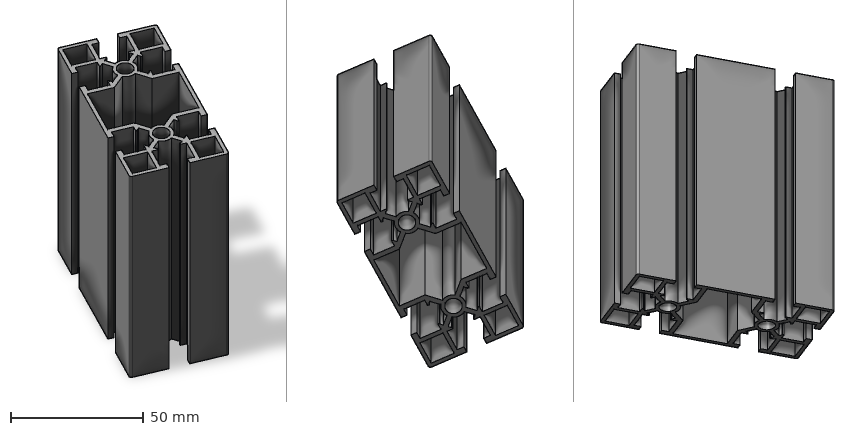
import cadquery as cq
import math

width = 80.0
depth = 40.0
length = 100.0
corner_radius = 1.0

module = depth
slot_opening = 8.3
lip_thickness = 2.5
slot_inner_width = 14.0
hook_depth = 11.3
hook_gap = 8.9
hook_thickness = 0.7
hook_tip_flat = 0.3

skin = 1.6
hollow_width = 22.0
cell_size = hook_depth - skin
web_thickness = 2.0
tube_outer_radius = 4.8
tube_bore_radius = 3.3

half_module = module / 2
tube_spacing = width - module
tube_centers = [(-tube_spacing / 2, 0), (tube_spacing / 2, 0)]
web_offset = web_thickness / math.sqrt(2)


def prism(points):
    """Extrude a closed outline over the full profile length."""
    return cq.Workplane("XY").polyline(points).close().extrude(length)


def slot_cutter(center_x, angle):
    """T-slot around one tube center, opening toward +Y before it is turned by angle."""
    half_opening = slot_opening / 2
    half_inner = slot_inner_width / 2
    half_gap = hook_gap / 2
    lip_y = half_module - lip_thickness
    hook_y = half_module - hook_depth
    hook_tip_y = hook_y - hook_thickness
    undercut_sum = half_gap + hook_tip_flat + hook_tip_y
    notch_x = (undercut_sum - web_offset) / 2
    notch_y = notch_x + web_offset
    right_side = [
        (half_opening, half_module),
        (half_opening, lip_y),
        (half_inner, lip_y),
        (half_inner, hook_y),
        (half_gap, hook_y),
        (half_gap, hook_tip_y),
        (half_gap + hook_tip_flat, hook_tip_y),
        (notch_x, notch_y),
        (0, web_offset),
    ]
    left_side = [(-x, y) for x, y in reversed(right_side[:-1])]
    cutter = prism(right_side + left_side)
    return cutter.rotate((0, 0, 0), (0, 0, 1), angle).translate((center_x, 0, 0))


def corner_cells():
    """Square hollows in the four outer corners."""
    cell_x = width / 2 - skin - cell_size / 2
    cell_y = depth / 2 - skin - cell_size / 2
    centers = [(x, y) for x in (-cell_x, cell_x) for y in (-cell_y, cell_y)]
    return cq.Workplane("XY").pushPoints(centers).rect(cell_size, cell_size).extrude(length)


def central_hollow():
    """Large hollow between the tubes, tapering at 45 degrees to follow the webs."""
    tube_x = tube_spacing / 2
    wall_x = hollow_width / 2
    wall_y = tube_x - wall_x - web_offset
    top_y = depth / 2 - skin
    apex_x = tube_x - web_offset
    return prism([
        (-wall_x, top_y),
        (wall_x, top_y),
        (wall_x, wall_y),
        (apex_x, 0),
        (wall_x, -wall_y),
        (wall_x, -top_y),
        (-wall_x, -top_y),
        (-wall_x, -wall_y),
        (-apex_x, 0),
        (-wall_x, wall_y),
    ])


body = cq.Workplane("XY").rect(width, depth).extrude(length)
body = body.edges("|Z").fillet(corner_radius)
body = body.cut(corner_cells()).cut(central_hollow())

for center_x, _ in tube_centers:
    end_angle = 90 if center_x < 0 else -90
    for angle in (0, 180, end_angle):
        body = body.cut(slot_cutter(center_x, angle))

tubes = cq.Workplane("XY").pushPoints(tube_centers).circle(tube_outer_radius).extrude(length)
bores = cq.Workplane("XY").pushPoints(tube_centers).circle(tube_bore_radius).extrude(length)
result = body.union(tubes).cut(bores)